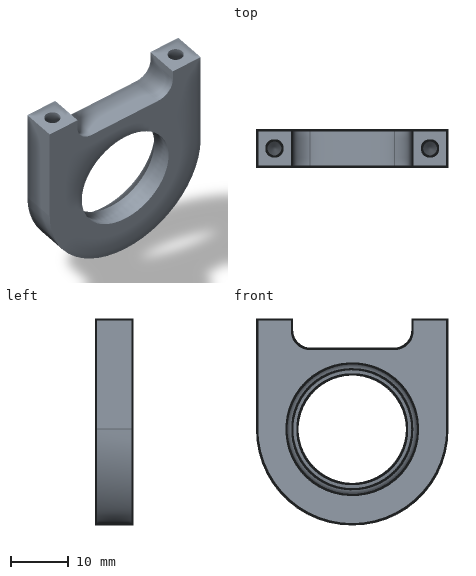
import cadquery as cq
import math

width = 33.05
height = 35.55
thickness = 6.35
base_radius = width / 2
top_z = height - base_radius
front_y = -thickness / 2

notch_width = 20.85
notch_depth = 5.1
notch_radius = 3.13

recess_diameter = 22.83
recess_depth = 2.3
ring_outer_diameter = 20.85
ring_inner_diameter = 19.0
ring_length = thickness - recess_depth

hole_diameter = 2.8
hole_spacing = 27.0
hole_depth = 7.1
drill_point_angle = 118.0


def cylinder_along_y(diameter, start_y, length):
    """Cylinder about the bore axis, running toward +Y from start_y."""
    plane = cq.Plane(origin=(0, start_y, 0), xDir=(1, 0, 0), normal=(0, 1, 0))
    return cq.Workplane(plane).circle(diameter / 2).extrude(length)


def make_blank():
    return (
        cq.Workplane("XZ", origin=(0, -front_y, 0))
        .moveTo(-base_radius, top_z)
        .lineTo(-base_radius, 0)
        .threePointArc((0, -base_radius), (base_radius, 0))
        .lineTo(base_radius, top_z)
        .close()
        .extrude(thickness)
    )


def make_notch():
    """Cutter open at the top, with its two lower corners rounded."""
    return (
        cq.Workplane("XY", origin=(0, 0, top_z - notch_depth))
        .rect(notch_width, thickness)
        .extrude(notch_depth)
        .edges("|Y and <Z")
        .fillet(notch_radius)
    )


def make_drilled_hole(x):
    """Blind hole cutter with a conical bottom, entering from the lug top."""
    radius = hole_diameter / 2
    point_length = radius / math.tan(math.radians(drill_point_angle / 2))
    return (
        cq.Workplane("XZ", origin=(x, 0, top_z))
        .lineTo(radius, 0)
        .lineTo(radius, -hole_depth)
        .lineTo(0, -hole_depth - point_length)
        .close()
        .revolve(360, (0, 0, 0), (0, 1, 0))
    )


def make_housing():
    housing = make_blank().cut(make_notch())
    housing = housing.cut(cylinder_along_y(recess_diameter, front_y, recess_depth))
    housing = housing.cut(cylinder_along_y(ring_outer_diameter, front_y, thickness))
    for side in (-1, 1):
        housing = housing.cut(make_drilled_hole(side * hole_spacing / 2))
    return housing


def make_ring():
    """Plain bushing flush with the recess floor and the back face."""
    ring_start_y = front_y + recess_depth
    outside = cylinder_along_y(ring_outer_diameter, ring_start_y, ring_length)
    return outside.cut(cylinder_along_y(ring_inner_diameter, ring_start_y, ring_length))


housing = make_housing()
ring = make_ring()

result = cq.Compound.makeCompound([housing.val(), ring.val()])